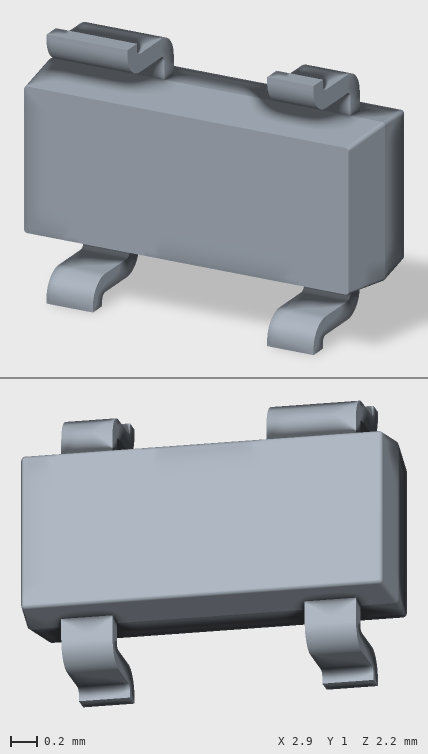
import cadquery as cq
import math

body_length = 2.9
body_height = 1.3
front_depth = 0.5
back_depth = 0.4
draft_angle = math.degrees(math.atan(0.1))
edge_radius = 0.03

lead_span = 2.2
lead_thickness = 0.15
bend_inner_radius = 0.05
bend_outer_radius = bend_inner_radius + lead_thickness
toe_length = 0.05
standoff = 0.102
lead_embed = 0.115
narrow_lead_width = 0.4
wide_lead_width = 0.7
lead_outer_x = 1.15


def body_half(depth):
    """Tapered half with rounded side corners; positive depth goes towards -Y."""
    return (
        cq.Workplane("XZ")
        .rect(body_length, body_height)
        .extrude(depth, taper=draft_angle)
        .edges("not (|X or |Z)")
        .fillet(edge_radius)
    )


def make_body():
    front = body_half(front_depth)
    back = body_half(-back_depth)
    back = back.faces(">Y").edges().fillet(edge_radius)
    return front.union(back)


def upper_lead(x_start, width):
    """Lead leaving the top of the body, bending forward and then up into a short toe."""
    root_z = body_height / 2 - lead_embed
    tip_z = lead_span / 2
    toe_base_z = tip_z - toe_length
    under_z = toe_base_z - bend_outer_radius
    over_z = under_z + lead_thickness
    toe_front_y = -(front_depth + standoff)
    toe_back_y = toe_front_y + lead_thickness
    toe_bend_y = toe_front_y + bend_outer_radius
    shoulder_y = -bend_inner_radius
    diagonal = math.sqrt(0.5)
    inner_mid = bend_inner_radius * diagonal
    outer_mid = bend_outer_radius * diagonal
    shoulder_z = under_z - bend_inner_radius

    return (
        cq.Workplane("YZ", origin=(x_start, 0, 0))
        .moveTo(0, root_z)
        .lineTo(0, shoulder_z)
        .threePointArc((shoulder_y + inner_mid, shoulder_z + inner_mid), (shoulder_y, under_z))
        .lineTo(toe_bend_y, under_z)
        .threePointArc((toe_bend_y - outer_mid, toe_base_z - outer_mid), (toe_front_y, toe_base_z))
        .lineTo(toe_front_y, tip_z)
        .lineTo(toe_back_y, tip_z)
        .lineTo(toe_back_y, toe_base_z)
        .threePointArc((toe_bend_y - inner_mid, toe_base_z - inner_mid), (toe_bend_y, over_z))
        .lineTo(shoulder_y, over_z)
        .threePointArc((shoulder_y + outer_mid, shoulder_z + outer_mid), (lead_thickness, shoulder_z))
        .lineTo(lead_thickness, root_z)
        .close()
        .extrude(width)
    )


left_x = -lead_outer_x
right_x = lead_outer_x - narrow_lead_width

result = make_body()
result = result.union(upper_lead(left_x, wide_lead_width))
result = result.union(upper_lead(right_x, narrow_lead_width))
for x_start in (left_x, right_x):
    result = result.union(upper_lead(x_start, narrow_lead_width).mirror("XY"))